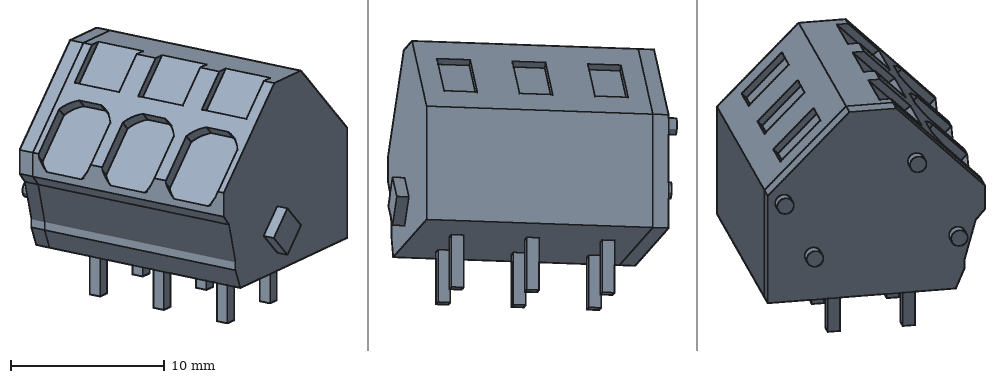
import cadquery as cq
import math


pole_count = 3
pole_pitch = 5.0
housing_length = pole_count * pole_pitch

block_depth = 14.5
block_height = 13.0
front_slope_run = 5.92
back_slope_run = 5.45
lip_bottom_z = 5.44
lip_undercut_y = 0.62
lip_undercut_z = 4.72
toe_y = 1.37
toe_top_z = 1.97
toe_bottom_z = 1.38
foot_y = 1.95

plate_thickness = 1.05
peg_diameter = 1.1
peg_length = 0.65
peg_centers = [(13.45, 7.0), (4.6, 9.2), (11.48, 3.13), (1.85, 3.79)]

key_diagonal = 3.2
key_length = 0.8
key_center_y = 6.27
key_center_z = 2.84

actuator_center_x = 2.43
actuator_width = 3.5
actuator_depth = 0.54
actuator_wall_draft = 10
actuator_bottom_z = 10.95

entry_center_x = 2.5
entry_width = 4.1
entry_depth = 0.8
entry_arc_radius = 2.4
entry_arc_center_x = 2.45
entry_flat_width = 1.7
entry_top_z = 10.13
entry_side_bottom_z = 7.1

test_center_x = 2.5
test_width = 2.2
test_depth = 0.45
test_low_y = 13.15
test_high_y = 10.47

pin_size = 0.82
pin_length = 3.48
pin_center_x = 2.13
pin_rows_y = [4.5, 9.5]

root_two = math.sqrt(2)
slope_bottom_z = block_height - front_slope_run


def block_section(start_x, length):
    """Extrude the block cross-section along +X."""
    outline = [
        (foot_y, 0),
        (block_depth, 0),
        (block_depth, block_height - back_slope_run),
        (block_depth - back_slope_run, block_height),
        (front_slope_run, block_height),
        (0, slope_bottom_z),
        (0, lip_bottom_z),
        (lip_undercut_y, lip_undercut_z),
        (toe_y, toe_top_z),
        (toe_y, toe_bottom_z),
    ]
    return cq.Workplane("YZ", origin=(start_x, 0, 0)).polyline(outline).close().extrude(length)


def front_slope_plane(pole_x):
    """Plane on the front slope: local x along the row, local y up the slope from its lower edge."""
    plane = cq.Plane(origin=(pole_x, 0, slope_bottom_z), xDir=(1, 0, 0), normal=(0, -1, 1))
    return cq.Workplane(plane)


def back_slope_plane(pole_x):
    """Plane on the back slope: local x along the row, local y down the slope from its upper edge."""
    origin = (pole_x, block_depth - back_slope_run, block_height)
    plane = cq.Plane(origin=origin, xDir=(1, 0, 0), normal=(0, 1, 1))
    return cq.Workplane(plane)


def actuator_recess(pole_x):
    """Rectangular recess running up the front slope and out through the top face."""
    edge_y = actuator_bottom_z - slope_bottom_z
    wall_angle = math.radians(45 - actuator_wall_draft)
    wall_length = actuator_depth / math.cos(math.radians(actuator_wall_draft))
    floor_start_y = edge_y + wall_length * math.cos(wall_angle)
    floor_start_z = actuator_bottom_z - wall_length * math.sin(wall_angle)
    floor_end_y = floor_start_y + block_height - floor_start_z
    profile = [
        (edge_y, actuator_bottom_z),
        (floor_start_y, floor_start_z),
        (floor_end_y, block_height),
        (front_slope_run, block_height),
    ]
    start_x = pole_x + actuator_center_x - actuator_width / 2
    return (
        cq.Workplane("YZ", origin=(start_x, 0, 0))
        .polyline(profile)
        .close()
        .extrude(actuator_width)
    )


def entry_recess(pole_x):
    """Slot with flattened round ends; the lower end runs out through the front face."""
    left = entry_center_x - entry_width / 2
    right = entry_center_x + entry_width / 2
    flat_left = entry_arc_center_x - entry_flat_width / 2
    flat_right = entry_arc_center_x + entry_flat_width / 2

    def arc_rise(x):
        """Height of the end arc above its centre."""
        return math.sqrt(entry_arc_radius**2 - (x - entry_arc_center_x) ** 2)

    flat_rise = arc_rise(flat_left)
    upper_center = (entry_top_z - slope_bottom_z) * root_two - flat_rise
    lower_center = (entry_side_bottom_z - slope_bottom_z) * root_two + arc_rise(right)

    def upper(x):
        return (x, upper_center + arc_rise(x))

    def lower(x):
        return (x, lower_center - arc_rise(x))

    left_middle = (left + flat_left) / 2
    right_middle = (right + flat_right) / 2
    return (
        front_slope_plane(pole_x)
        .moveTo(*lower(left))
        .lineTo(*upper(left))
        .threePointArc(upper(left_middle), upper(flat_left))
        .lineTo(*upper(flat_right))
        .threePointArc(upper(right_middle), upper(right))
        .lineTo(*lower(right))
        .threePointArc(lower(right_middle), lower(flat_right))
        .lineTo(*lower(flat_left))
        .threePointArc(lower(left_middle), lower(left))
        .close()
        .extrude(-entry_depth)
    )


def test_recess(pole_x):
    """Rectangular recess in the back slope."""
    slope_top_y = block_depth - back_slope_run
    high = (test_high_y - slope_top_y) * root_two
    low = (test_low_y - slope_top_y) * root_two
    return (
        back_slope_plane(pole_x)
        .center(test_center_x, (high + low) / 2)
        .rect(test_width, low - high)
        .extrude(-test_depth)
    )


def make_housing():
    """Main block with the recesses of every pole and the key on its far end."""
    body = block_section(0, housing_length)
    for pole in range(pole_count):
        pole_x = pole * pole_pitch
        body = body.cut(actuator_recess(pole_x))
        body = body.cut(entry_recess(pole_x))
        body = body.cut(test_recess(pole_x))
    key = (
        cq.Workplane("YZ", origin=(housing_length, key_center_y, key_center_z))
        .polygon(4, key_diagonal)
        .extrude(key_length)
    )
    return body.union(key)


def make_end_plate():
    """Closing plate with four round locating pegs on its outer face."""
    plate = block_section(-plate_thickness, plate_thickness)
    pegs = (
        cq.Workplane("YZ", origin=(-plate_thickness, 0, 0))
        .pushPoints(peg_centers)
        .circle(peg_diameter / 2)
        .extrude(-peg_length)
    )
    return plate.union(pegs)


def make_pin(center_x, center_y):
    """Square solder pin hanging from the underside."""
    return (
        cq.Workplane("XY")
        .center(center_x, center_y)
        .rect(pin_size, pin_size)
        .extrude(-pin_length)
    )


housing = make_housing()
end_plate = make_end_plate()

pins = []
for pole in range(pole_count):
    for row_y in pin_rows_y:
        pin = make_pin(pole * pole_pitch + pin_center_x, row_y)
        pins.append(pin.val())

result = cq.Compound.makeCompound([housing.val(), end_plate.val(), *pins])